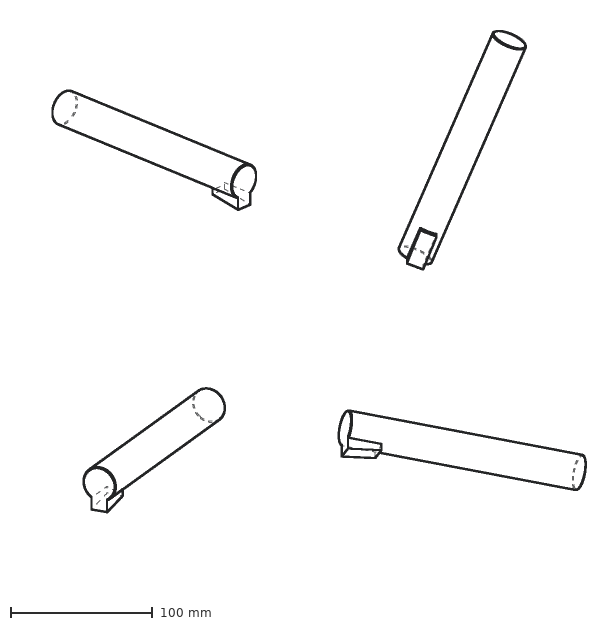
import cadquery as cq

bar_length = 177.8
bar_diameter = 25.5
bar_radius = bar_diameter / 2
edge_chamfer = 0.64

overall_height = 32.7
key_length = 25.5
key_width = 12.5
key_rise = 4.0
key_bottom = bar_radius - overall_height


def make_bar():
    bar = cq.Workplane("YZ").circle(bar_radius).extrude(bar_length)
    return bar.edges("%CIRCLE").chamfer(edge_chamfer)


def make_key():
    key_start = bar_length - key_length
    profile = [
        (key_start, 0),
        (bar_length, 0),
        (bar_length, key_bottom),
        (key_start, key_bottom + key_rise),
    ]
    return cq.Workplane("XZ").polyline(profile).close().extrude(key_width / 2, both=True)


result = make_bar().union(make_key())